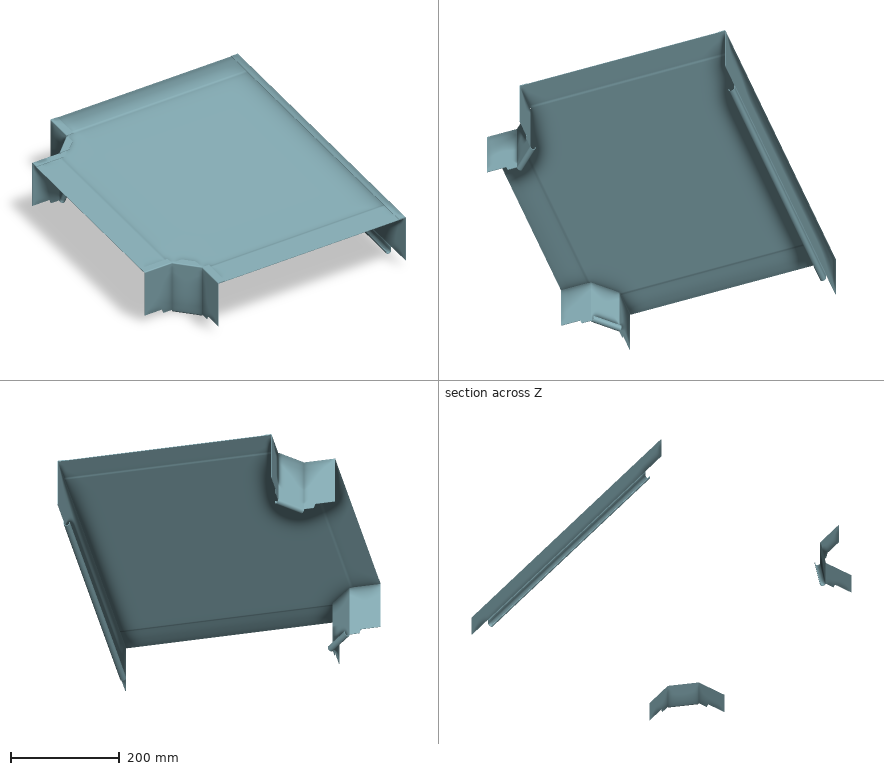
import cadquery as cq
import math

LENGTH = 600.0
DEPTH = 502.5
HEIGHT = 113.0
SHEET = 1.0

LEG = 58.0
CHAMFER = 40.0
ARM_REACH = LEG + CHAMFER
HALF_LENGTH = LENGTH / 2
HALF_NECK = HALF_LENGTH - ARM_REACH
MITER_SLOPE = math.tan(math.radians(45 / 2))

FLANGE = 15.0
BEND = 2 * SHEET
HEM_RADIUS = 5.7
LIP_TOP = 8.5
END_BOTTOM = 14.5
NOTCH_TOP_LENGTH = 37.0
NOTCH_BOTTOM_LENGTH = 40.0
BACK_HEM_SETBACK = 51.0
BACK_STEP_HEIGHT = 2.0

STRIP_WIDTH = 51.0
STEP_END = 57.5
STRIP_TOP = HEIGHT - SHEET
MIDDLE_TOP = STRIP_TOP - SHEET

ARM_END = (-HALF_LENGTH, ARM_REACH)
ARM_CORNER = (-HALF_LENGTH + LEG, ARM_REACH)
NECK_CORNER = (-HALF_NECK, LEG)
NECK_END = (-HALF_NECK, 0)


def section_plane(start, end):
    """Section across a wall at start: local x points into the tray, local y up."""
    run_x = end[0] - start[0]
    run_y = end[1] - start[1]
    return cq.Plane(origin=(*start, 0), xDir=(-run_y, run_x, 0), normal=(run_x, run_y, 0))


def flange(start, end):
    """Flange with its rounded bend, along one straight wall."""
    bend_bottom = HEIGHT - BEND
    inner_bend = BEND - SHEET
    diagonal = math.sqrt(0.5)
    return (
        cq.Workplane(section_plane(start, end))
        .moveTo(0, bend_bottom)
        .threePointArc((BEND - BEND * diagonal, bend_bottom + BEND * diagonal), (BEND, HEIGHT))
        .lineTo(FLANGE, HEIGHT)
        .lineTo(FLANGE, STRIP_TOP)
        .lineTo(BEND, STRIP_TOP)
        .threePointArc(
            (BEND - inner_bend * diagonal, bend_bottom + inner_bend * diagonal), (SHEET, bend_bottom)
        )
        .close()
        .extrude(math.dist(start, end))
    )


def hem(start, end, inset=0):
    """Lower edge rolled inward through a half circle, with a short upright lip."""
    far = inset + 2 * HEM_RADIUS
    middle = inset + HEM_RADIUS
    return (
        cq.Workplane(section_plane(start, end))
        .moveTo(inset, HEM_RADIUS)
        .threePointArc((middle, 0), (far, HEM_RADIUS))
        .lineTo(far, LIP_TOP)
        .lineTo(far - SHEET, LIP_TOP)
        .lineTo(far - SHEET, HEM_RADIUS)
        .threePointArc((middle, SHEET), (inset + SHEET, HEM_RADIUS))
        .close()
        .extrude(math.dist(start, end))
    )


def end_notch(end_point, inner_point):
    """Cutter for the slanted notch under the free end of a corner wall."""
    run = [(b - a) / LEG for a, b in zip(end_point, inner_point)]
    plane = cq.Plane(origin=(*end_point, 0), xDir=(*run, 0), normal=(run[1], -run[0], 0))
    return (
        cq.Workplane(plane)
        .moveTo(0, HEM_RADIUS)
        .lineTo(NOTCH_BOTTOM_LENGTH, HEM_RADIUS)
        .lineTo(NOTCH_TOP_LENGTH, END_BOTTOM)
        .lineTo(0, END_BOTTOM)
        .close()
        .extrude(SHEET, both=True)
    )


def make_corner_rail():
    """Rail of the left corner: arm wall, 45 degree wall and neck wall in one sheet."""
    miter = SHEET * MITER_SLOPE
    walls = (
        cq.Workplane("XY")
        .workplane(offset=HEM_RADIUS)
        .polyline([
            ARM_END,
            ARM_CORNER,
            NECK_CORNER,
            NECK_END,
            (NECK_END[0] + SHEET, NECK_END[1]),
            (NECK_CORNER[0] + SHEET, NECK_CORNER[1] + miter),
            (ARM_CORNER[0] + miter, ARM_CORNER[1] + SHEET),
            (ARM_END[0], ARM_END[1] + SHEET),
        ])
        .close()
        .extrude(HEIGHT - BEND - HEM_RADIUS)
    )
    walls = walls.cut(end_notch(ARM_END, ARM_CORNER)).cut(end_notch(NECK_END, NECK_CORNER))

    corner_square = (
        cq.Workplane("XY")
        .box(CHAMFER, CHAMFER, HEIGHT, centered=False)
        .translate((ARM_CORNER[0], NECK_CORNER[1], 0))
    )
    chamfer_flange = flange(ARM_CORNER, NECK_CORNER).intersect(corner_square)

    return (
        walls
        .union(flange(ARM_END, ARM_CORNER))
        .union(chamfer_flange)
        .union(flange(NECK_CORNER, NECK_END))
        .union(hem(ARM_CORNER, NECK_CORNER))
    )


def make_back_rail():
    """Straight rail along the back, with a hem that is stepped inward."""
    right_end = (HALF_LENGTH, DEPTH)
    left_end = (-HALF_LENGTH, DEPTH)
    hem_right = (HALF_LENGTH - BACK_HEM_SETBACK, DEPTH)
    hem_left = (-HALF_LENGTH + BACK_HEM_SETBACK, DEPTH)
    step_bottom = END_BOTTOM - BACK_STEP_HEIGHT
    wall = (
        cq.Workplane("XY")
        .box(LENGTH, SHEET, HEIGHT - BEND - END_BOTTOM, centered=(True, False, False))
        .translate((0, DEPTH - SHEET, END_BOTTOM))
    )
    stepped_wall = (
        cq.Workplane(section_plane(hem_right, hem_left))
        .polyline([
            (0, END_BOTTOM),
            (SHEET, step_bottom),
            (SHEET, HEM_RADIUS),
            (2 * SHEET, HEM_RADIUS),
            (2 * SHEET, step_bottom),
            (SHEET, END_BOTTOM),
        ])
        .close()
        .extrude(math.dist(hem_right, hem_left))
    )
    return (
        wall
        .union(flange(right_end, left_end))
        .union(stepped_wall)
        .union(hem(hem_right, hem_left, inset=SHEET))
    )


def end_strip(start, end):
    """Raised strip along an open end, stepped down to the middle by bend, slope and bend."""
    third = (STEP_END - STRIP_WIDTH) / 3
    slope_start = STRIP_WIDTH + third
    slope_end = STEP_END - third
    bend_drop = SHEET / 4
    half_bend_drop = bend_drop / 4
    strip_bottom = STRIP_TOP - SHEET
    middle_bottom = MIDDLE_TOP - SHEET
    return (
        cq.Workplane(section_plane(start, end))
        .moveTo(0, STRIP_TOP)
        .lineTo(STRIP_WIDTH, STRIP_TOP)
        .threePointArc(
            (STRIP_WIDTH + third / 2, STRIP_TOP - half_bend_drop), (slope_start, STRIP_TOP - bend_drop)
        )
        .lineTo(slope_end, MIDDLE_TOP + bend_drop)
        .threePointArc((STEP_END - third / 2, MIDDLE_TOP + half_bend_drop), (STEP_END, MIDDLE_TOP))
        .lineTo(STEP_END, middle_bottom)
        .threePointArc(
            (STEP_END - third / 2, middle_bottom + half_bend_drop), (slope_end, middle_bottom + bend_drop)
        )
        .lineTo(slope_start, strip_bottom - bend_drop)
        .threePointArc(
            (STRIP_WIDTH + third / 2, strip_bottom - half_bend_drop), (STRIP_WIDTH, strip_bottom)
        )
        .lineTo(0, strip_bottom)
        .close()
        .extrude(math.dist(start, end))
    )


def make_plate():
    """T-shaped plate under the flanges, its edges clear of the bends of the rails."""
    back = DEPTH - BEND
    arm_front = ARM_REACH + BEND
    neck_side = HALF_NECK - BEND
    side = HALF_LENGTH - STEP_END
    chamfer_shift = BEND * MITER_SLOPE
    arm_corner_x = HALF_LENGTH - LEG - chamfer_shift
    neck_corner_y = LEG + chamfer_shift
    middle = (
        cq.Workplane("XY")
        .workplane(offset=MIDDLE_TOP - SHEET)
        .polyline([
            (-side, back),
            (-side, arm_front),
            (-arm_corner_x, arm_front),
            (-neck_side, neck_corner_y),
            (-neck_side, STEP_END),
            (neck_side, STEP_END),
            (neck_side, neck_corner_y),
            (arm_corner_x, arm_front),
            (side, arm_front),
            (side, back),
        ])
        .close()
        .extrude(SHEET)
    )
    return (
        middle
        .union(end_strip((-HALF_LENGTH, back), (-HALF_LENGTH, arm_front)))
        .union(end_strip((HALF_LENGTH, arm_front), (HALF_LENGTH, back)))
        .union(end_strip((-neck_side, 0), (neck_side, 0)))
    )


plate = make_plate()
back_rail = make_back_rail()
left_corner_rail = make_corner_rail()
corner_rails = [left_corner_rail, left_corner_rail.mirror("YZ")]

result = cq.Compound.makeCompound([
    plate.solids().val(),
    back_rail.solids().val(),
    *[rail.solids().val() for rail in corner_rails],
])